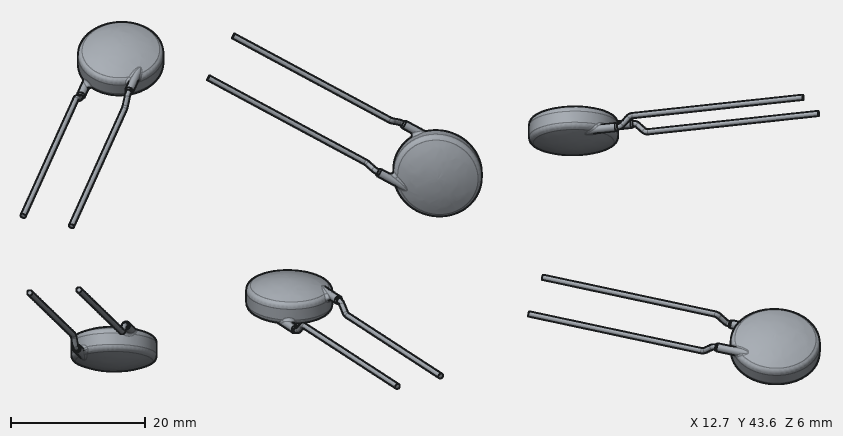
import cadquery as cq
import math

body_width = 12.7
body_length = 13.35
body_height = 6.0
rim_height = 1.75
shoulder_z = 1.8
shoulder_inset = 0.6

overall_length = 43.6
lead_x = 3.75
lead_exit_z = 1.53
wire_diameter = 0.85
bend_radius = 0.87
bend_angle = 45.0
straight_start_y = -10.4
sleeve_diameter = 1.25
sleeve_start_y = -1.75
sleeve_end_y = -8.1
sleeve_tip_chamfer = 0.15
sleeve_tip_length = 0.3
sleeve_root_fillet = 0.45
root_search_margin = 0.15

wire_end_y = body_length / 2 - overall_length


def make_body():
    """Revolve the domed profile, then stretch it along Y into an ellipse."""
    radius = body_width / 2
    half_height = body_height / 2
    half_rim = rim_height / 2
    dome_edge = radius - shoulder_inset
    dome_rise = half_height - shoulder_z
    dome_radius = (dome_edge**2 + dome_rise**2) / (2 * dome_rise)
    mid_x = dome_edge / 2
    mid_z = half_height - dome_radius + math.sqrt(dome_radius**2 - mid_x**2)

    shoulder_rise = shoulder_z - half_rim
    shoulder_radius = (shoulder_inset**2 + shoulder_rise**2) / (2 * shoulder_inset)
    half_sweep = math.asin(shoulder_rise / shoulder_radius) / 2
    mid_inset = shoulder_radius * (1 - math.cos(half_sweep))
    mid_rise = shoulder_radius * math.sin(half_sweep)
    profile = (
        cq.Workplane("XZ")
        .moveTo(0, -half_height)
        .threePointArc((mid_x, -mid_z), (dome_edge, -shoulder_z))
        .threePointArc((radius - mid_inset, -half_rim - mid_rise), (radius, -half_rim))
        .lineTo(radius, half_rim)
        .threePointArc((radius - mid_inset, half_rim + mid_rise), (dome_edge, shoulder_z))
        .threePointArc((mid_x, mid_z), (0, half_height))
        .close()
    )
    round_body = profile.revolve(360, (0, 0), (0, 1))
    stretch = cq.Matrix([[1, 0, 0, 0], [0, body_length / body_width, 0, 0], [0, 0, 1, 0]])
    return cq.Workplane(round_body.val().transformGeometry(stretch))


def make_sleeve(side):
    """Coating along the lead, with a tapered tip; side is +1 (upper) or -1 (lower)."""
    radius = sleeve_diameter / 2
    tip_radius = radius - sleeve_tip_chamfer
    length = sleeve_start_y - sleeve_end_y
    shoulder = length - sleeve_tip_length
    return (
        cq.Workplane("XY")
        .polyline([(0, 0), (radius, 0), (radius, -shoulder), (tip_radius, -length), (0, -length)])
        .close()
        .revolve(360, (0, 0), (0, 1))
        .translate((side * lead_x, sleeve_start_y, side * lead_exit_z))
    )


def make_wire(side):
    """Bare wire bent from its exit height to the mid-plane, then straight to its end."""
    angle = math.radians(bend_angle)
    arc_run = bend_radius * math.sin(angle)
    arc_drop = bend_radius * (1 - math.cos(angle))
    half_run = bend_radius * math.sin(angle / 2)
    half_drop = bend_radius * (1 - math.cos(angle / 2))
    slope_run = (lead_exit_z - 2 * arc_drop) / math.tan(angle)
    bend_start_y = straight_start_y + 2 * arc_run + slope_run
    path = (
        cq.Workplane("YZ", origin=(side * lead_x, 0, 0))
        .moveTo(sleeve_start_y, side * lead_exit_z)
        .lineTo(bend_start_y, side * lead_exit_z)
        .threePointArc(
            (bend_start_y - half_run, side * (lead_exit_z - half_drop)),
            (bend_start_y - arc_run, side * (lead_exit_z - arc_drop)),
        )
        .lineTo(straight_start_y + arc_run, side * arc_drop)
        .threePointArc((straight_start_y + half_run, side * half_drop), (straight_start_y, 0))
        .lineTo(wire_end_y, 0)
    )
    start = (side * lead_x, sleeve_start_y, side * lead_exit_z)
    section = cq.Workplane("XZ", origin=start).circle(wire_diameter / 2)
    return section.sweep(path)


def blend_sleeve_root(part, side):
    """Round the curved seam where a sleeve emerges from the body."""
    reach = sleeve_diameter / 2 + root_search_margin
    center_x = side * lead_x
    center_z = side * lead_exit_z
    seam_box = cq.selectors.BoxSelector(
        (center_x - reach, -body_length / 2, center_z - reach),
        (center_x + reach, sleeve_start_y, center_z + reach),
    )
    return part.edges("%BSPLINE").edges(seam_box).fillet(sleeve_root_fillet)


result = make_body()
for side in (1, -1):
    result = result.union(make_sleeve(side))
    result = blend_sleeve_root(result, side)
    result = result.union(make_wire(side))